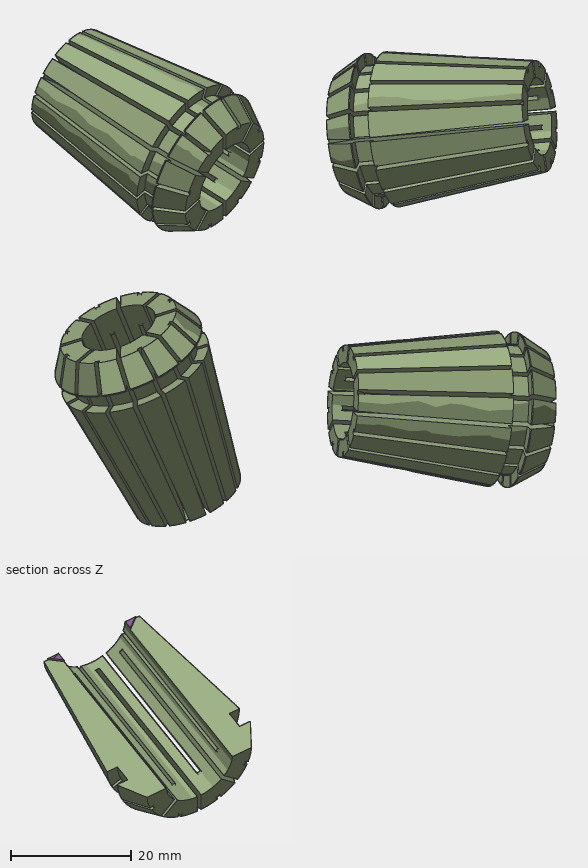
import cadquery as cq
import math

length = 34.0
max_radius = 13.0
bore_radius = 6.5

taper_length = 25.8
taper_angle = 8.0
groove_radius = 10.98
rim_start = 29.05
rim_width = 0.2
nose_angle = 30.0

slit_width = 0.75
slits_per_set = 8
slit_pitch = 360.0 / slits_per_set
saw_radius = 34.0

slim_web_length = 1.8
slim_web_radius = 8.65
nose_web_length = 4.15
nose_web_radius = 9.72

slim_radius = max_radius - taper_length * math.tan(math.radians(taper_angle))
nose_start = rim_start + rim_width
nose_radius = max_radius - (length - nose_start) * math.tan(math.radians(nose_angle))
cutter_height = max_radius + 0.35


def collet_body():
    """Revolved body with its bore; the profile is (axial place, radius)."""
    profile = [
        (0, bore_radius),
        (0, slim_radius),
        (taper_length, max_radius),
        (taper_length, groove_radius),
        (rim_start, groove_radius),
        (rim_start, max_radius),
        (nose_start, max_radius),
        (length, nose_radius),
        (length, bore_radius),
    ]
    return cq.Workplane("XY").polyline(profile).close().revolve(360, (0, 0, 0), (1, 0, 0))


def slit_cutter(web_length, web_radius):
    """Radial blade, open at X = length, with a concave saw run-out over the web at X = 0."""
    return (
        cq.Workplane("XZ")
        .moveTo(web_length, 0)
        .lineTo(web_length, bore_radius)
        .radiusArc((0, web_radius), saw_radius)
        .lineTo(0, cutter_height)
        .lineTo(length, cutter_height)
        .lineTo(length, 0)
        .close()
        .extrude(slit_width / 2, both=True)
    )


def cut_slits(body, cutter, first_angle):
    """Cut one evenly spaced set of slits around the X axis."""
    for i in range(slits_per_set):
        angle = first_angle + i * slit_pitch
        body = body.cut(cutter.rotate((0, 0, 0), (1, 0, 0), angle))
    return body


nose_slit = slit_cutter(slim_web_length, slim_web_radius)
slim_slit = slit_cutter(nose_web_length, nose_web_radius).mirror("YZ").translate((length, 0, 0))

collet = collet_body()
collet = cut_slits(collet, nose_slit, 0)
collet = cut_slits(collet, slim_slit, slit_pitch / 2)

result = cq.Workplane("XY").newObject([collet.solids().val()])